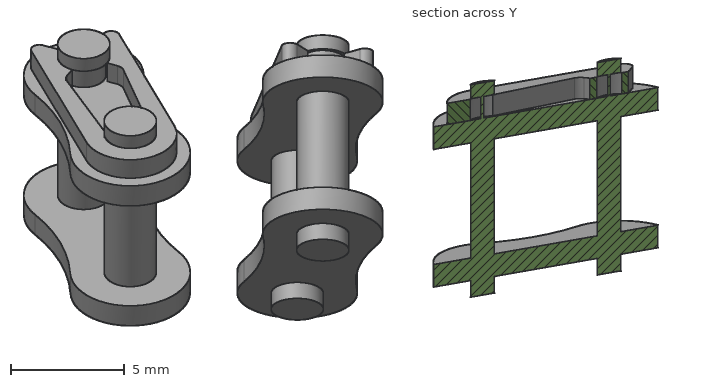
import cadquery as cq
import math


pitch = 6.35
lobe_radius = 2.64
waist_half_width = 2.175
plate_thickness = 1.07
plate_gap = 5.32
pin_radius = 1.15
pin_stub = 0.77
head_height = 0.67
neck_radius = 0.98
clip_thickness = 0.98
clip_half_width = 2.04
clip_tip_radius = 0.37
clip_bore_radius = pin_radius
slot_half_width = neck_radius
slot_taper = math.radians(4)
slot_corner_radius = 0.5

pin_x = pitch / 2
lower_plate_z = pin_stub
upper_plate_z = lower_plate_z + plate_thickness + plate_gap
clip_z = upper_plate_z + plate_thickness
pin_length = clip_z + clip_thickness + head_height
pin_centers = [(-pin_x, 0), (pin_x, 0)]


def make_plate(bottom_z):
    """Two round lobes joined by concave waist arcs tangent to both."""
    waist_radius = (pin_x**2 + waist_half_width**2 - lobe_radius**2) / (2 * (lobe_radius - waist_half_width))
    waist_center_y = waist_half_width + waist_radius
    reach = lobe_radius / (lobe_radius + waist_radius)
    tangent_x = pin_x * (1 - reach)
    tangent_y = waist_center_y * reach
    lobe_end_x = pin_x + lobe_radius
    return (
        cq.Workplane("XY", origin=(0, 0, bottom_z))
        .moveTo(-tangent_x, tangent_y)
        .threePointArc((0, waist_half_width), (tangent_x, tangent_y))
        .threePointArc((lobe_end_x, 0), (tangent_x, -tangent_y))
        .threePointArc((0, -waist_half_width), (-tangent_x, -tangent_y))
        .threePointArc((-lobe_end_x, 0), (-tangent_x, tangent_y))
        .close()
        .extrude(plate_thickness)
    )


def make_pins():
    """Both pins, each with a groove between the upper plate and the head."""
    pins = cq.Workplane("XY").pushPoints(pin_centers).circle(pin_radius).extrude(pin_length)
    grooves = (
        cq.Workplane("XY", origin=(0, 0, clip_z))
        .pushPoints(pin_centers)
        .circle(pin_radius)
        .circle(neck_radius)
        .extrude(clip_thickness)
    )
    return pins.cut(grooves)


def make_link():
    """Pins and plates as one solid."""
    return make_pins().union(make_plate(lower_plate_z)).union(make_plate(upper_plate_z))


def clip_prism(sketch):
    return sketch.close().extrude(clip_thickness)


def make_clip_blank():
    """U-shaped outline whose open end is a 45 degree V with its apex on the left pin axis."""
    tip_x = -pin_x - clip_half_width
    blank = clip_prism(
        cq.Workplane("XY", origin=(0, 0, clip_z))
        .moveTo(-pin_x, 0)
        .lineTo(tip_x, -clip_half_width)
        .lineTo(pin_x, -clip_half_width)
        .threePointArc((pin_x + clip_half_width, 0), (pin_x, clip_half_width))
        .lineTo(tip_x, clip_half_width)
    )
    return blank.edges("|Z and <X").fillet(clip_tip_radius)


def make_clip_slot():
    """Tapered slot between the pins, opening at 45 degrees from the left pin axis."""
    slope = math.tan(slot_taper)
    corner_reach = (slot_half_width + slope * pitch) / (1 + slope)
    corner_x = -pin_x + corner_reach
    slot = clip_prism(
        cq.Workplane("XY", origin=(0, 0, clip_z))
        .moveTo(-pin_x, 0)
        .lineTo(corner_x, -corner_reach)
        .lineTo(pin_x, -slot_half_width)
        .lineTo(pin_x, slot_half_width)
        .lineTo(corner_x, corner_reach)
    )
    corner_points = [(corner_x, side * corner_reach, clip_z + clip_thickness / 2) for side in (-1, 1)]
    for point in corner_points:
        slot = slot.edges(cq.selectors.NearestToPointSelector(point)).fillet(slot_corner_radius)
    return slot


def make_clip():
    """Spring clip lying on the upper plate, around the pin necks."""
    bores = (
        cq.Workplane("XY", origin=(0, 0, clip_z))
        .pushPoints(pin_centers)
        .circle(clip_bore_radius)
        .extrude(clip_thickness)
    )
    return make_clip_blank().cut(bores).cut(make_clip_slot())


link = make_link()
clip = make_clip()

result = cq.Compound.makeCompound([link.val(), clip.val()])